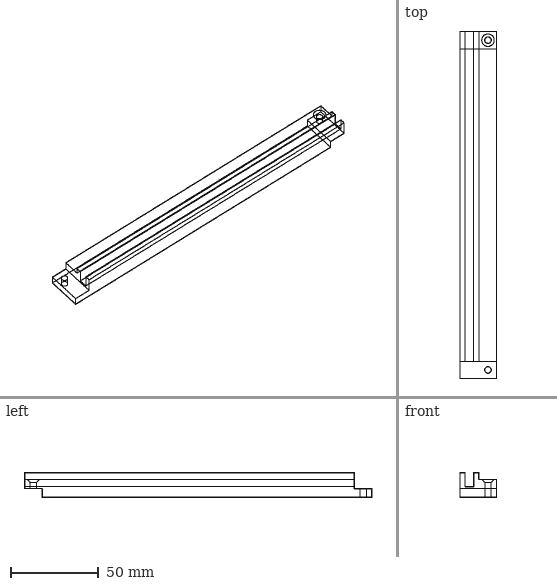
import cadquery as cq

width = 21.0
length = 198.0
height = 14.0

wall = 3.0
groove_width = 5.0
groove_depth = 8.0
shelf_drop = 3.8

lap_length = 9.9
lap_height = 5.0

hole_diameter = 3.5
countersink_diameter = 7.1
countersink_angle = 90.0
hole_edge_distance = 5.0

groove_right = wall + groove_width
shelf_left = groove_right + wall
shelf_height = height - shelf_drop
hole_x = width - hole_edge_distance
front_hole_y = lap_length / 2
back_hole_y = length - lap_length / 2


def rail_body():
    """Rail profile in XZ, extruded along the full length in +Y."""
    profile = [
        (0, 0),
        (width, 0),
        (width, shelf_height),
        (shelf_left, shelf_height),
        (shelf_left, height),
        (groove_right, height),
        (groove_right, height - groove_depth),
        (wall, height - groove_depth),
        (wall, height),
        (0, height),
    ]
    return cq.Workplane("XZ").polyline(profile).close().extrude(-length)


def lap_cut(y_start, z_start, cut_height):
    """Full-width block removed from one end to form a lap."""
    block = cq.Workplane("XY").box(width, lap_length, cut_height, centered=False)
    return block.translate((0, y_start, z_start))


result = rail_body()
result = result.cut(lap_cut(0, lap_height, height - lap_height))
result = result.cut(lap_cut(length - lap_length, 0, lap_height))

result = (
    result.copyWorkplane(cq.Workplane("XY", origin=(hole_x, front_hole_y, lap_height)))
    .hole(hole_diameter)
)

result = (
    result.copyWorkplane(cq.Workplane("XY", origin=(hole_x, back_hole_y, shelf_height)))
    .cskHole(hole_diameter, countersink_diameter, countersink_angle)
)